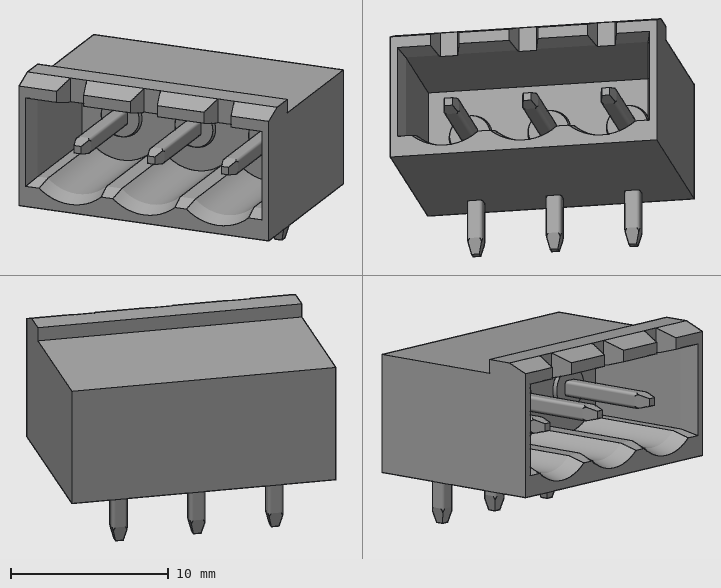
import cadquery as cq
import math

housing_length = 17.24
housing_depth = 12.0
pin_drop = 3.52
housing_height = 12.07 - pin_drop
lip_rise = 0.9
lip_depth = 3.0
lip_slope_run = 1.35
lip_slope_drop = 0.52
body_height = housing_height - lip_rise

pole_count = 3
pole_pitch = 5.09
pole_positions = [(i - (pole_count - 1) / 2) * pole_pitch for i in range(pole_count)]
contact_height = 3.86

cavity_depth = 8.28
side_wall = 0.8
top_wall = 1.59
floor_height = 1.69
scallop_radius = 2.97
lead_in_depth = 1.14
lead_in_growth = 0.33
cavity_top = housing_height - top_wall

notch_depth = lip_slope_run
notch_back_width = 1.12
notch_front_width = 1.86

boss_base_radius = 1.4
boss_top_radius = 1.31
boss_height = 0.25

pin_width = 1.0
pin_edge_radius = 0.2
tip_width = 0.5
tip_length = 1.0
contact_end = 1.19
leg_y = housing_depth - 2.0


def housing_block():
    """Side profile with the sloped lip, extruded along X."""
    profile = [
        (0, 0),
        (housing_depth, 0),
        (housing_depth, body_height),
        (lip_depth, body_height),
        (lip_depth, housing_height),
        (lip_slope_run, housing_height),
        (0, housing_height - lip_slope_drop),
    ]
    return cq.Workplane("YZ").polyline(profile).close().extrude(housing_length / 2, both=True)


def cavity_outline(y, growth):
    """Wire of the cavity section at depth y, offset outwards by growth."""
    half_width = housing_length / 2 - side_wall + growth
    top = cavity_top + growth
    floor = floor_height - growth
    radius = scallop_radius + growth
    half_chord = math.sqrt(radius**2 - (contact_height - floor) ** 2)

    outline = cq.Workplane("XZ", origin=(0, y, 0)).moveTo(-half_width, top).lineTo(-half_width, floor)
    for x in pole_positions:
        outline = outline.lineTo(x - half_chord, floor)
        outline = outline.threePointArc((x, contact_height - radius), (x + half_chord, floor))
    return outline.lineTo(half_width, floor).lineTo(half_width, top).close()


def cavity():
    """Straight plug cavity with a flared lead-in at the mouth."""
    straight = cavity_outline(0, 0).extrude(-cavity_depth)
    mouth = cavity_outline(0, lead_in_growth).val()
    throat = cavity_outline(lead_in_depth, 0).val()
    return straight.union(cq.Workplane(cq.Solid.makeLoft([mouth, throat], True)))


def notch(x):
    """Coding notch that narrows towards the rear."""
    plan = [
        (x - notch_front_width / 2, 0),
        (x + notch_front_width / 2, 0),
        (x + notch_back_width / 2, notch_depth),
        (x - notch_back_width / 2, notch_depth),
    ]
    return cq.Workplane("XY", origin=(0, 0, cavity_top)).polyline(plan).close().extrude(top_wall)


def boss(x):
    """Conical boss on the cavity's rear wall, around one contact."""
    base = cq.Vector(x, cavity_depth, contact_height)
    forward = cq.Vector(0, -1, 0)
    return cq.Workplane(cq.Solid.makeCone(boss_base_radius, boss_top_radius, boss_height, base, forward))


def square_rod(length):
    """Upright rod from Z = 0 with rounded edges and a pyramid tip at the top."""
    rod = cq.Workplane("XY").rect(pin_width, pin_width).extrude(length)
    rod = rod.edges("|Z").fillet(pin_edge_radius)
    shank = cq.Workplane("XY").rect(pin_width, pin_width).extrude(length - tip_length)
    tip = (
        shank.faces(">Z")
        .workplane()
        .rect(pin_width, pin_width)
        .workplane(offset=tip_length)
        .rect(tip_width, tip_width)
        .loft(ruled=True)
    )
    return rod.intersect(tip)


def pin(x):
    """Bent pin of one pole; its two rods meet at the contact axis."""
    elbow = pin_width / 2
    contact = square_rod(leg_y + elbow - contact_end).rotate((0, 0, 0), (1, 0, 0), 90)
    contact = contact.translate((x, leg_y + elbow, contact_height))
    leg = square_rod(contact_height + elbow + pin_drop).rotate((0, 0, 0), (1, 0, 0), 180)
    leg = leg.translate((x, leg_y, contact_height + elbow))
    return contact.union(leg)


pins = [pin(x) for x in pole_positions]

housing = housing_block().cut(cavity())
for x, pole_pin in zip(pole_positions, pins):
    housing = housing.union(boss(x)).cut(notch(x)).cut(pole_pin)

result = cq.Compound.makeCompound([housing.val(), *[pole_pin.val() for pole_pin in pins]])